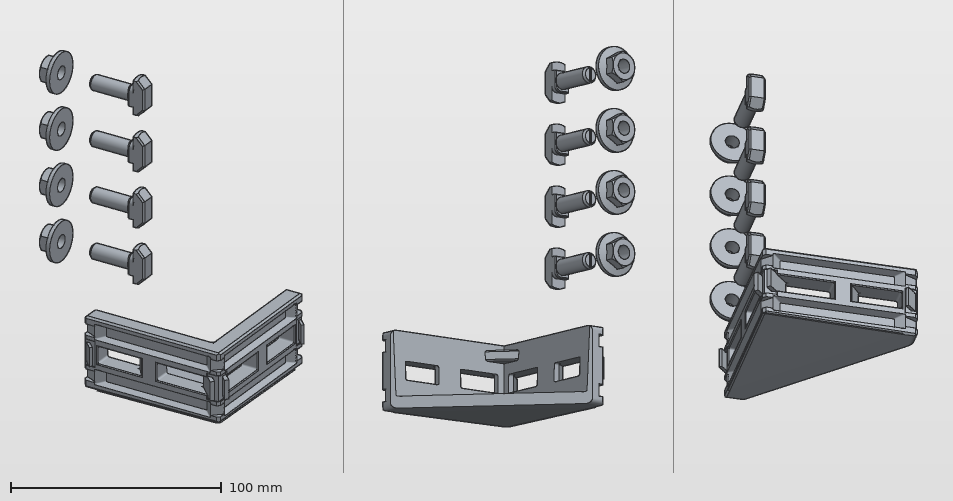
import cadquery as cq
import math


LEG = 76.0
HEIGHT = 38.0
MID_HEIGHT = HEIGHT / 2
LEG_END = 7.6
WALL_TOP = 8.5
WALL_DRAFT = 1.7
FLOOR_AT_EDGE = 6.0
FLOOR_TILT = 1.0
FLOOR_FILLET = 0.9
TIP_FILLET = 2.5
TIP_CHAMFER = 1.5
RIM_CHAMFER = 1.0
CORNER_CHAMFER = 1.4

POCKET_OFFSET = 12.0
POCKET_DEPTH = 3.5
POCKET_RIM = (69.8, 4.8, 8.2)
POCKET_FLOOR = (65.2, 9.1, 5.6)
POCKET_CORNER = 0.6
CHANNEL_WIDTH = 6.0
RAMP_OUTER_DEPTH = 3.6
RAMP_INNER_DEPTH = 0.8

SLOT_HEIGHT = 9.2
SLOT_CORNER = 1.0
SLOT_CHAMFER = 0.5
MOUTH_DEPTH = 6.1
CORNER_MOUTH_NEAR = 6.5
TIP_SLOT = (68.0, 48.1, 43.3)
CORNER_SLOT = (35.0, CORNER_MOUTH_NEAR + MOUTH_DEPTH, CORNER_MOUTH_NEAR)

TAB_PROJECTION = 3.79
TAB_WIDTH = 10.2
TIP_TAB_START = 74.1
TIP_TAB_THICKNESS = 1.5
CORNER_TAB_START = CORNER_MOUTH_NEAR
CORNER_TAB_THICKNESS = 2.2
TAB_ROOT = 1.8
NOTCH_WIDTH = 13.8
NOTCH_DEPTH = 0.7
TIP_NOTCH_LENGTH = 6.4
CORNER_NOTCH_LENGTH = 7.0

GUSSET_REACH = 20.2
GUSSET_HEIGHT = 5.3
GUSSET_CENTRE = 31.9
GUSSET_CHAMFER = 0.8
GUSSET_ROOT = 1.0

FASTENERS = 4
PITCH = 30.0
LOWEST_AXIS = 69.0
AXIS_Y = 8.7
BOLT_X = -LEG
NUT_GAP = 26.0
NUT_X = BOLT_X - NUT_GAP

THREAD_DIAMETER = 8.0
BOLT_LENGTH = 31.0
BOLT_CHAMFER_LENGTH = 1.2
BOLT_CHAMFER_DEPTH = 0.9
TIP_SLOT_WIDTH = 1.0
TIP_SLOT_DEPTH = 0.4
NECK_START = 21.8
NECK_HEIGHT = 10.4
NECK_CORNER = 2.8
NECK_CHAMFER_LENGTH = 0.9
NECK_CHAMFER_DEPTH = 0.4
HEAD_START = 25.0
HEAD_RIM = 1.9
HEAD_LENGTH = 19.7
HEAD_END_LENGTH = 11.4
HEAD_THICKNESS = 8.0
HEAD_CHAMFER = 0.8

NUT_LENGTH = 8.3
NUT_BORE = 6.8
HEX_FLATS = 13.0
HEX_FACE_DIAMETER = 12.9
FLANGE_DIAMETER = 21.0
FLANGE_THICKNESS = 2.1
FLANGE_CONE = 1.2

SLOPE_DISTANCE = (LEG - LEG_END) / math.sqrt(2)
FAR = 4 * LEG


def on_both_legs(tool):
    """The tool for the -X leg together with its mirror image on the +Y leg."""
    return tool.union(tool.mirror((1, 1, 0), (0, 0, 0)))


def bar(points, z_centre, height):
    """Prism over a plan outline, centred on a height."""
    base = cq.Workplane("XY", origin=(0, 0, z_centre - height / 2))
    return base.polyline(points).close().extrude(height)


def leg_block(far, near, depth, z_centre, height):
    """Rectangular block that goes into the outer face between two distances."""
    return bar([(-far, 0), (-near, 0), (-near, depth), (-far, depth)], z_centre, height)


def tilted_block(edge_height, bottom, top):
    """Block between two levels, tilted to pass edge_height at the sloping edge."""
    slab = cq.Workplane("XY", origin=(0, 0, bottom)).rect(FAR, FAR).extrude(top - bottom)
    slab = slab.rotate((0, 0, 0), (0, 1, 0), -FLOOR_TILT)
    return slab.translate((-SLOPE_DISTANCE, 0, edge_height)).rotate((0, 0, 0), (0, 0, 1), -45)


def underside_height(distance):
    """Height of the tilted underside along the outer face."""
    return (SLOPE_DISTANCE - distance / math.sqrt(2)) * math.tan(math.radians(FLOOR_TILT))


def bracket_blank():
    outline = [(-LEG, 0), (0, 0), (0, LEG), (-LEG_END, LEG), (-LEG, LEG_END)]
    blank = cq.Workplane("XY").polyline(outline).close().extrude(HEIGHT)
    blank = blank.cut(tilted_block(0, -HEIGHT, 0))
    blank = blank.faces("<X or >Y").edges("not |Z").fillet(TIP_FILLET)
    tip = [(-LEG, 0), (-LEG + TIP_CHAMFER, 0), (-LEG, TIP_CHAMFER)]
    return blank.cut(on_both_legs(bar(tip, MID_HEIGHT, 2 * HEIGHT)))


def chamfer_section(x, z, direction):
    """Triangular chamfer section on the outer face, at an edge of height z."""
    plane = cq.Workplane("YZ", origin=(x, 0, 0))
    return plane.polyline([(0, z), (RIM_CHAMFER, z), (0, z + direction * RIM_CHAMFER)]).close()


def chamfer_outer_faces(body):
    top = chamfer_section(0, HEIGHT, -1).extrude(-LEG)
    low_end = chamfer_section(-LEG, underside_height(LEG), 1).wires().val()
    high_end = chamfer_section(0, underside_height(0), 1).wires().val()
    bottom = cq.Workplane(cq.Solid.makeLoft([low_end, high_end], True))
    corner = bar([(0, 0), (-CORNER_CHAMFER, 0), (0, CORNER_CHAMFER)], MID_HEIGHT, 2 * HEIGHT)
    return body.cut(on_both_legs(top)).cut(on_both_legs(bottom)).cut(corner)


def interior():
    """Open space between the legs, above the floor."""
    outline = [(-WALL_TOP, WALL_TOP), (-WALL_TOP, FAR), (-FAR, WALL_TOP)]
    space = cq.Workplane("XY", origin=(0, 0, HEIGHT)).polyline(outline).close()
    space = space.extrude(-HEIGHT, taper=WALL_DRAFT)
    space = space.intersect(tilted_block(FLOOR_AT_EDGE, 0, FAR))
    return space.faces("<Z").edges().fillet(FLOOR_FILLET)


def gusset():
    root = WALL_TOP - GUSSET_ROOT
    reach = GUSSET_REACH + GUSSET_ROOT
    block = bar([(-root, root), (-root, reach), (-reach, root)], GUSSET_CENTRE, GUSSET_HEIGHT)
    slanted = block.faces(cq.selectors.DirectionMinMaxSelector(cq.Vector(-1, 1, 0)))
    return slanted.edges("not |Z").chamfer(GUSSET_CHAMFER)


def pocket(z_centre):
    """Tapered pocket with a ramp out to the leg tip and a slanted cut across the outer corner."""
    rim_far, rim_near, rim_width = POCKET_RIM
    floor_far, floor_near, floor_width = POCKET_FLOOR
    rim_middle = -(rim_far + rim_near) / 2
    floor_middle = -(floor_far + floor_near) / 2
    recess = (
        cq.Workplane("XZ")
        .center(rim_middle, z_centre)
        .rect(rim_far - rim_near, rim_width)
        .workplane(offset=-POCKET_DEPTH)
        .center(floor_middle - rim_middle, 0)
        .rect(floor_far - floor_near, floor_width)
        .loft(ruled=True)
    )
    recess = recess.edges("not (|X or |Z)").fillet(POCKET_CORNER)
    corner_cut = bar([(0, 0), (-rim_near, 0), (0, rim_near)], z_centre, CHANNEL_WIDTH)
    ramp = [(-LEG, 0), (-LEG, RAMP_OUTER_DEPTH), (-rim_far, RAMP_INNER_DEPTH), (-rim_far, 0)]
    return recess.union(bar(ramp, z_centre, CHANNEL_WIDTH)).union(corner_cut)


def bolt_slot(far, near, mouth_near):
    slot = leg_block(far, near, 2 * WALL_TOP, MID_HEIGHT, SLOT_HEIGHT).edges("|Y").fillet(SLOT_CORNER)
    middle = (far + near) / 2
    mouth = [(-middle, 0), (-mouth_near, 0), (-near, MOUTH_DEPTH), (-middle, MOUTH_DEPTH)]
    rim_width = far - mouth_near + 2 * SLOT_CHAMFER
    rim_height = SLOT_HEIGHT + 2 * SLOT_CHAMFER
    bevel = cq.Workplane("XZ").center(-(far + mouth_near) / 2, MID_HEIGHT).rect(rim_width, rim_height)
    bevel = bevel.extrude(-SLOT_CHAMFER, taper=45)
    return slot.union(bar(mouth, MID_HEIGHT, SLOT_HEIGHT)).union(bevel)


def tab(start, thickness):
    """Slanted tab whose face toward the leg tip leaves the outer face at a distance."""
    width = thickness * math.sqrt(2)
    back_shift = width / 2
    points = [
        (-start - TAB_ROOT, TAB_ROOT),
        (-start + TAB_PROJECTION, -TAB_PROJECTION),
        (-start + TAB_PROJECTION + back_shift, -TAB_PROJECTION + back_shift),
        (-start + width - TAB_ROOT, TAB_ROOT),
    ]
    return bar(points, MID_HEIGHT, TAB_WIDTH)


def build_bracket():
    body = chamfer_outer_faces(bracket_blank())
    body = body.cut(interior()).union(gusset())
    for side in (-1, 1):
        body = body.cut(on_both_legs(pocket(MID_HEIGHT + side * POCKET_OFFSET)))
    for far, near in ((LEG, LEG - TIP_NOTCH_LENGTH), (CORNER_NOTCH_LENGTH, 0)):
        body = body.cut(on_both_legs(leg_block(far, near, NOTCH_DEPTH, MID_HEIGHT, NOTCH_WIDTH)))
    for slot in (TIP_SLOT, CORNER_SLOT):
        body = body.cut(on_both_legs(bolt_slot(*slot)))
    for start, thickness in ((TIP_TAB_START, TIP_TAB_THICKNESS), (CORNER_TAB_START, CORNER_TAB_THICKNESS)):
        tool = tab(start, thickness)
        body = body.union(tool).union(tool.mirror((1, 1, 0), (0, 0, 0)))
    return body


def bolt_shaft():
    shaft = cq.Workplane("YZ").circle(THREAD_DIAMETER / 2).extrude(NECK_START)
    shaft = shaft.faces("<X").chamfer(BOLT_CHAMFER_LENGTH, BOLT_CHAMFER_DEPTH)
    return shaft.cut(cq.Workplane("YZ").rect(TIP_SLOT_WIDTH, THREAD_DIAMETER).extrude(TIP_SLOT_DEPTH))


def bolt_neck():
    """Oblong neck; two opposite corners are rounded so that the head can turn in a groove."""
    half_y = HEAD_THICKNESS / 2
    half_z = NECK_HEIGHT / 2
    neck = (
        cq.Workplane("YZ", origin=(NECK_START, 0, 0))
        .moveTo(-half_y, -half_z)
        .lineTo(half_y - NECK_CORNER, -half_z)
        .radiusArc((half_y, -half_z + NECK_CORNER), -NECK_CORNER)
        .lineTo(half_y, half_z)
        .lineTo(-half_y + NECK_CORNER, half_z)
        .radiusArc((-half_y, half_z - NECK_CORNER), -NECK_CORNER)
        .close()
        .extrude(HEAD_START - NECK_START)
    )
    return neck.faces("<X").chamfer(NECK_CHAMFER_LENGTH, NECK_CHAMFER_DEPTH)


def bolt_head():
    half_rim = HEAD_LENGTH / 2
    half_end = HEAD_END_LENGTH / 2
    slope_start = HEAD_START + HEAD_RIM
    outline = [
        (HEAD_START, -half_rim), (slope_start, -half_rim), (BOLT_LENGTH, -half_end),
        (BOLT_LENGTH, half_end), (slope_start, half_rim), (HEAD_START, half_rim),
    ]
    head = cq.Workplane("XZ", origin=(0, HEAD_THICKNESS / 2, 0)).polyline(outline).close()
    head = head.extrude(HEAD_THICKNESS)
    end_and_slopes = cq.selectors.BoxSelector(
        (slope_start, -HEAD_THICKNESS, -HEAD_LENGTH), (BOLT_LENGTH + 1, HEAD_THICKNESS, HEAD_LENGTH)
    )
    head = head.faces("<Y or >Y").edges(end_and_slopes).chamfer(HEAD_CHAMFER)
    return head.intersect(cq.Workplane("YZ").circle(half_rim).extrude(BOLT_LENGTH))


def build_bolt():
    return bolt_shaft().union(bolt_neck()).union(bolt_head())


def turned(points):
    """Solid of revolution about the X axis from (x, radius) points."""
    return cq.Workplane("XY").polyline(points).close().revolve(360, (0, 0, 0), (1, 0, 0))


def build_nut():
    corner_diameter = HEX_FLATS / math.cos(math.pi / 6)
    face_radius = HEX_FACE_DIAMETER / 2
    flange_start = NUT_LENGTH - FLANGE_THICKNESS
    cone_start = flange_start - FLANGE_CONE
    chamfer_run = corner_diameter - face_radius
    hexagon = cq.Workplane("YZ").transformed(rotate=(0, 0, 90)).polygon(6, corner_diameter)
    hexagon = hexagon.extrude(flange_start)
    hexagon = hexagon.intersect(turned([
        (0, 0), (0, face_radius), (chamfer_run, corner_diameter),
        (NUT_LENGTH, corner_diameter), (NUT_LENGTH, 0),
    ]))
    flange = turned([
        (cone_start, 0), (cone_start, HEX_FLATS / 2), (flange_start, FLANGE_DIAMETER / 2),
        (NUT_LENGTH, FLANGE_DIAMETER / 2), (NUT_LENGTH, 0),
    ])
    bore = cq.Workplane("YZ").circle(NUT_BORE / 2).extrude(NUT_LENGTH)
    return hexagon.union(flange).cut(bore)


bracket = build_bracket()
bolt = build_bolt()
nut = build_nut()
bolts = []
nuts = []
for index in range(FASTENERS):
    axis_z = LOWEST_AXIS + index * PITCH
    bolts.append(bolt.translate((BOLT_X, AXIS_Y, axis_z)).val())
    nuts.append(nut.translate((NUT_X, AXIS_Y, axis_z)).val())

result = cq.Compound.makeCompound([bracket.val(), *bolts, *nuts])